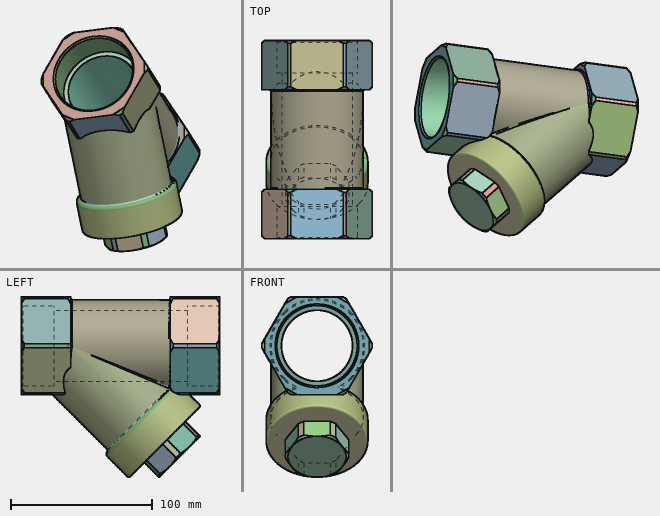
import cadquery as cq
import math

length = 140.0
body_diameter = 65.0
bore_diameter = 50.0
socket_diameter = 56.66
socket_depth = 23.0
socket_chamfer = 1.2

end_flats = 69.0
end_corners = 78.17
end_length = 35.0
end_bevel = 2.1
corner_angles = range(0, 360, 60)
plain_corner_angle = 180
inner_face_y = length / 2 - end_length

branch_angle = 45.0
branch_origin_y = 36.6
cap_diameter = 72.0
cap_start = 72.0
cap_end = 96.0
cap_back_fillet = 2.5
cap_rim_fillet = 1.5

plug_flats = 41.0
plug_corners = 44.8
plug_end = 110.7
plug_chamfer_angle = 30.0

joint_fillet = 1.0


def disc(radius, start, end):
    """Round bar along Z between two heights."""
    return cq.Workplane("XY").workplane(offset=start).circle(radius).extrude(end - start)


def hexagon(flats, corners, height):
    """Hexagonal prism along Z with corners on X, each corner cut to a narrow flat."""
    corner_cutter = cq.Workplane("XY").polygon(6, corners, circumscribed=True).extrude(height)
    prism = cq.Workplane("XY").polygon(6, flats, circumscribed=True).extrude(height)
    return prism.rotate((0, 0, 0), (0, 0, 1), 30).intersect(corner_cutter)


def along_y(shape):
    """Turn a shape built along Z so that its +Z points along +Y."""
    return shape.rotate((0, 0, 0), (1, 0, 0), -90)


def along_branch(shape):
    """Move a shape built upwards along Z onto the branch axis."""
    return shape.rotate((0, 0, 0), (1, 0, 0), 180 - branch_angle).translate((0, branch_origin_y, 0))


def corner_bevel(corner_angle):
    """Wedge that bevels one corner of an end hexagon at its Z = 0 face."""
    corner = end_corners / 2
    wedge = (
        cq.Workplane("XZ")
        .polyline([(corner - end_bevel, 0), (corner, 0), (corner, end_bevel)])
        .close()
        .extrude(end_flats / 4, both=True)
    )
    return wedge.rotate((0, 0, 0), (0, 0, 1), corner_angle)


def joint_ring():
    """Concave fillet ring around a body-sized bar, rising from a face at Z = 0."""
    body_radius = body_diameter / 2
    return (
        cq.Workplane("XZ")
        .moveTo(body_radius - joint_fillet, 0)
        .lineTo(body_radius + joint_fillet, 0)
        .radiusArc((body_radius, joint_fillet), joint_fillet)
        .lineTo(body_radius - joint_fillet, joint_fillet)
        .close()
        .revolve(360, (0, 0), (0, 1))
    )


def end_hexagon(inner_bevel_angles):
    """Hexagonal end with its outer face at Z = 0 and its inner face towards +Z."""
    prism = hexagon(end_flats, end_corners, end_length)
    for angle in corner_angles:
        prism = prism.cut(corner_bevel(angle))
    for angle in inner_bevel_angles:
        prism = prism.cut(corner_bevel(angle).mirror("XY").translate((0, 0, end_length)))
    return prism.union(joint_ring().translate((0, 0, end_length)))


def front_end():
    return along_y(end_hexagon(corner_angles)).translate((0, -length / 2, 0))


def rear_end():
    bevelled_angles = [angle for angle in corner_angles if angle != plain_corner_angle]
    shape = end_hexagon(bevelled_angles).rotate((0, 0, 0), (1, 0, 0), 90)
    return shape.translate((0, length / 2, 0))


def pipe():
    return along_y(disc(body_diameter / 2, -length / 2, length / 2))


def barrel():
    return along_branch(disc(body_diameter / 2, 0, cap_end))


def crease():
    """Pipe and barrel in front of the rear end, with the edge between them filleted."""
    room = 2 * length
    in_front = cq.Workplane("XY").box(room, room, room).translate((0, inner_face_y - room / 2, 0))
    joined = pipe().union(barrel()).intersect(in_front)
    inside_zone = cq.selectors.BoxSelector(
        (-room, -room, -room), (room, inner_face_y - joint_fillet, room)
    )
    return joined.edges("%ELLIPSE").edges(inside_zone).fillet(joint_fillet)


def cap():
    """Round cap with a rounded shoulder and a filleted foot on the barrel."""
    shoulder = disc(cap_diameter / 2, cap_start, cap_end)
    shoulder = shoulder.faces("<Z").edges().fillet(cap_back_fillet)
    shoulder = shoulder.faces(">Z").edges().fillet(cap_rim_fillet)
    neck = disc(body_diameter / 2, cap_start - 2 * joint_fillet, cap_start)
    foot = joint_ring().mirror("XY").translate((0, 0, cap_start))
    return along_branch(shoulder.union(neck).union(foot))


def plug():
    """Hexagonal head whose free end is turned to a cone meeting the flats."""
    height = plug_end - cap_end
    head = hexagon(plug_flats, plug_corners, height)
    corner_radius = plug_flats / math.sqrt(3)
    turned_width = corner_radius - plug_flats / 2
    turned_height = turned_width * math.tan(math.radians(plug_chamfer_angle))
    cone = disc(corner_radius, 0, height).faces(">Z").chamfer(turned_height, turned_width)
    return along_branch(head.intersect(cone).translate((0, 0, cap_end)))


def bore():
    """Through bore with a chamfered socket at each end."""
    hole = disc(bore_diameter / 2, -length / 2, length / 2)
    socket = disc(socket_diameter / 2, length / 2 - socket_depth, length / 2)
    mouth = (
        cq.Workplane("XY")
        .workplane(offset=length / 2)
        .circle(socket_diameter / 2 + socket_chamfer)
        .extrude(-socket_chamfer, taper=45)
    )
    socket = socket.union(mouth)
    return along_y(hole.union(socket).union(socket.mirror("XY")))


result = crease()
for piece in (pipe(), barrel(), front_end(), rear_end(), cap(), plug()):
    result = result.union(piece)
result = result.cut(bore())